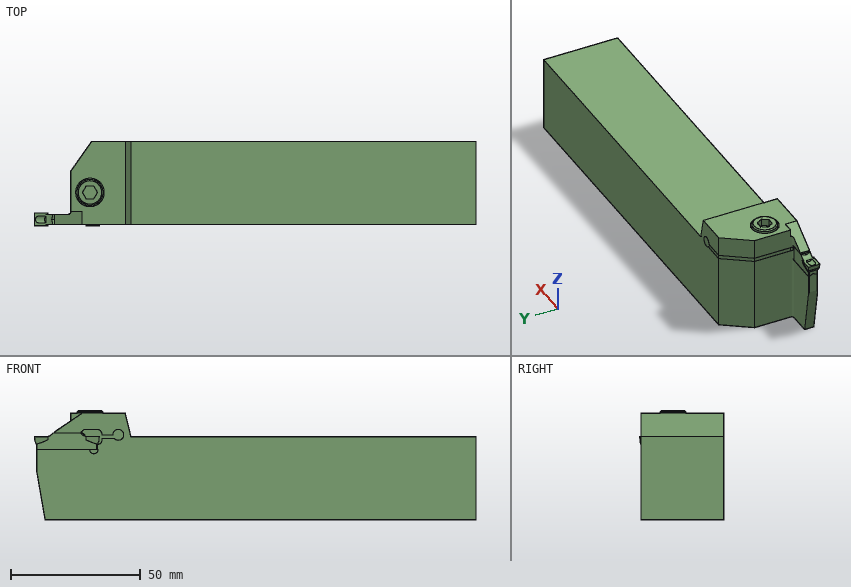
import cadquery as cq
import math

total_length = 170.0
shank_width = 32.0
shank_height = 32.0

head_front_x = 14.0
head_top_z = 41.0
head_back_top_x = 35.0
head_back_foot_x = 37.2
head_bevel_length = 8.0
head_bevel_width = 11.4

blade_width = 4.0
blade_front_x = 0.75
blade_relief_z = 19.4
blade_foot_x = 4.1
blade_edge_chamfer = 0.3
blade_root_radius = 1.0

jaw_wall_y = blade_width + blade_root_radius
jaw_top_x = 18.4
jaw_slope_angle = 34.0
jaw_nose_x = 7.7

insert_length = 25.0
insert_overhang = 0.5
seat_z = 27.0
cutting_edge_z = shank_height
clamp_face_z = 33.4
neck_length = 5.2
neck_top_length = 7.1
neck_arc_start = 4.4
neck_arc_mid = (6.0, 32.4)
side_relief_angle = 7.0
land_foot_x = 0.2
land_foot_z = 30.2
cheek_foot_z = 29.1
cheek_arc_mid = (3.0, 29.8)
cheek_heel_z = 30.8
seat_ridge_height = 0.8
clamp_ridge_height = 0.5
chip_trough_start_x = 1.8
chip_trough_end_x = 3.6
chip_trough_radius = 2.5
chip_trough_depth = 0.4

slit_bottom_z = 31.2
slit_height = 1.5
slit_end_x = 32.3
slit_end_z = 32.7
slit_end_diameter = 4.2
relief_depth = blade_width + insert_overhang
relief_start_x = 18.0
relief_corner_z = 33.8
relief_top_start_x = 19.2
relief_top_z = 34.8
relief_top_end_x = 24.2
relief_end_x = 26.0
relief_shoulder_radius = 1.9
relief_side_z = 32.9
relief_foot_x = 24.3
relief_foot_z = 29.0
relief_foot_radius = 1.7
seat_relief_x = 22.9
seat_relief_diameter = 3.2

screw_x = 21.4
screw_y = 12.4
screw_head_diameter = 10.0
screw_head_height = 6.0
screw_protrusion = 1.0
screw_head_chamfer = 0.5
screw_socket_flats = 5.0
screw_socket_depth = 3.0
screw_shank_diameter = 5.0
screw_tip_z = 16.0
counterbore_diameter = 11.0
clearance_diameter = 6.5

screw_top_z = head_top_z + screw_protrusion
counterbore_floor_z = screw_top_z - screw_head_height


def side_plate(outline, y_start, y_end):
    """Extrude a closed outline drawn in the XZ plane between two Y positions."""
    return outline.extrude(-(y_end - y_start)).translate((0, y_start, 0))


def side_sketch():
    """Start an outline on the XZ plane, whose own normal points toward -Y."""
    return cq.Workplane("XZ")


def vertical_rod(diameter, z_start, z_end):
    """Upright cylinder on the screw axis."""
    rod = cq.Workplane("XY").circle(diameter / 2).extrude(z_end - z_start)
    return rod.translate((screw_x, screw_y, z_start))


def make_blank():
    blade = side_plate(
        side_sketch()
        .moveTo(blade_foot_x, 0)
        .lineTo(blade_front_x, blade_relief_z)
        .lineTo(blade_front_x, head_top_z)
        .lineTo(jaw_top_x, head_top_z)
        .lineTo(jaw_top_x, 0)
        .close(),
        0,
        blade_width,
    )
    blade = blade.faces("<X").edges("|Z").chamfer(blade_edge_chamfer)

    body = side_plate(
        side_sketch()
        .moveTo(head_front_x, 0)
        .lineTo(head_front_x, head_top_z)
        .lineTo(head_back_top_x, head_top_z)
        .lineTo(head_back_foot_x, shank_height)
        .lineTo(total_length, shank_height)
        .lineTo(total_length, 0)
        .close(),
        0,
        shank_width,
    )
    bevel = (
        cq.Workplane("XY")
        .moveTo(head_front_x, shank_width)
        .lineTo(head_front_x + head_bevel_length, shank_width)
        .lineTo(head_front_x, shank_width - head_bevel_width)
        .close()
        .extrude(head_top_z)
    )
    blade_root = (
        cq.Workplane("XY")
        .moveTo(head_front_x, blade_width)
        .lineTo(head_front_x - blade_root_radius, blade_width)
        .radiusArc((head_front_x, jaw_wall_y), -blade_root_radius)
        .close()
        .extrude(head_top_z)
    )
    blank = body.cut(bevel).union(blade).union(blade_root)

    slope_drop = (jaw_top_x - jaw_nose_x) * math.tan(math.radians(jaw_slope_angle))
    above_jaw = side_plate(
        side_sketch()
        .moveTo(jaw_top_x, head_top_z)
        .lineTo(jaw_nose_x, head_top_z - slope_drop)
        .lineTo(jaw_nose_x, cheek_foot_z)
        .lineTo(0, cheek_foot_z)
        .lineTo(0, head_top_z)
        .close(),
        0,
        jaw_wall_y,
    )
    return blank.cut(above_jaw)


def make_v_ridge(base_z, rise):
    """Ridge of triangular section along the insert; a negative rise points it downward."""
    return (
        cq.Workplane("YZ")
        .moveTo(0, base_z)
        .lineTo(blade_width / 2, base_z + rise)
        .lineTo(blade_width, base_z)
        .close()
        .extrude(insert_length)
    )


def make_cutting_end():
    """Front cutting end, wider than the blade, with a round-ended trough as chip breaker."""
    end = side_plate(
        side_sketch()
        .moveTo(0, cutting_edge_z)
        .lineTo(neck_length, cutting_edge_z)
        .lineTo(neck_length, cheek_heel_z)
        .threePointArc(cheek_arc_mid, (blade_front_x, cheek_foot_z))
        .lineTo(land_foot_x, land_foot_z)
        .close(),
        -insert_overhang,
        blade_width + insert_overhang,
    )
    side_relief = (cutting_edge_z - cheek_foot_z) * math.tan(math.radians(side_relief_angle))
    tapered_section = (
        cq.Workplane("YZ")
        .moveTo(-insert_overhang, cutting_edge_z)
        .lineTo(blade_width + insert_overhang, cutting_edge_z)
        .lineTo(blade_width + insert_overhang - side_relief, cheek_foot_z)
        .lineTo(-insert_overhang + side_relief, cheek_foot_z)
        .close()
        .extrude(neck_length)
    )
    end = end.intersect(tapered_section)
    trough_z = cutting_edge_z + chip_trough_radius - chip_trough_depth
    trough = cq.Workplane("YZ").circle(chip_trough_radius).extrude(chip_trough_end_x - chip_trough_start_x)
    end = end.cut(trough.translate((chip_trough_start_x, blade_width / 2, trough_z)))
    for x in (chip_trough_start_x, chip_trough_end_x):
        trough_end = cq.Workplane("XY").sphere(chip_trough_radius)
        end = end.cut(trough_end.translate((x, blade_width / 2, trough_z)))
    return end


def make_insert():
    rear_neck_end = (insert_length - neck_arc_start, cutting_edge_z)
    waist = side_plate(
        side_sketch()
        .moveTo(blade_front_x, seat_z)
        .lineTo(blade_front_x, cheek_foot_z)
        .lineTo(neck_arc_start, cutting_edge_z)
        .threePointArc(neck_arc_mid, (neck_top_length, clamp_face_z))
        .lineTo(insert_length - neck_top_length, clamp_face_z)
        .threePointArc((insert_length - neck_arc_mid[0], neck_arc_mid[1]), rear_neck_end)
        .lineTo(insert_length - blade_front_x, cheek_foot_z)
        .lineTo(insert_length - blade_front_x, seat_z)
        .close(),
        0,
        blade_width,
    )
    waist = waist.edges("|Z").chamfer(blade_edge_chamfer)
    waist = waist.cut(make_v_ridge(seat_z, seat_ridge_height))
    waist = waist.cut(make_v_ridge(clamp_face_z, -clamp_ridge_height))
    front_end = make_cutting_end()
    rear_end = front_end.mirror("YZ").translate((insert_length, 0, 0))
    return waist.union(front_end).union(rear_end)


def make_spacer(blank, insert):
    slit = side_plate(
        side_sketch()
        .moveTo(head_front_x, slit_bottom_z)
        .lineTo(slit_end_x, slit_bottom_z)
        .lineTo(slit_end_x, slit_bottom_z + slit_height)
        .lineTo(head_front_x, slit_bottom_z + slit_height)
        .close(),
        0,
        shank_width,
    )
    round_end = side_plate(
        side_sketch().center(slit_end_x, slit_end_z).circle(slit_end_diameter / 2),
        0,
        shank_width,
    )
    relief = side_plate(
        side_sketch()
        .moveTo(relief_start_x, relief_corner_z)
        .lineTo(relief_top_start_x, relief_top_z)
        .lineTo(relief_top_end_x, relief_top_z)
        .radiusArc((relief_end_x, relief_side_z), relief_shoulder_radius)
        .lineTo(relief_end_x, relief_foot_z + relief_foot_radius)
        .radiusArc((relief_foot_x, relief_foot_z), relief_foot_radius)
        .close(),
        0,
        relief_depth,
    )
    spacer = slit.union(round_end).union(relief).intersect(blank).cut(insert)
    return spacer.cut(vertical_rod(clearance_diameter, 0, head_top_z))


def make_screw():
    head = vertical_rod(screw_head_diameter, counterbore_floor_z, screw_top_z)
    head = head.faces(">Z").chamfer(screw_head_chamfer)
    shank = vertical_rod(screw_shank_diameter, screw_tip_z, counterbore_floor_z)
    socket_corners = screw_socket_flats / math.cos(math.pi / 6)
    socket = (
        cq.Workplane("XY")
        .polygon(6, socket_corners)
        .extrude(screw_socket_depth)
        .translate((screw_x, screw_y, screw_top_z - screw_socket_depth))
    )
    return head.union(shank).cut(socket)


def make_holder(blank, insert, spacer, screw):
    seat_relief = side_plate(
        side_sketch().center(seat_relief_x, seat_z).circle(seat_relief_diameter / 2),
        0,
        blade_width,
    ).intersect(cq.Workplane("XY").box(total_length, shank_width, seat_z, centered=False))
    counterbore = vertical_rod(counterbore_diameter, counterbore_floor_z, head_top_z)
    clearance = vertical_rod(clearance_diameter, slit_bottom_z, head_top_z)
    holder = blank.cut(insert).cut(spacer).cut(seat_relief)
    return holder.cut(counterbore).cut(clearance).cut(screw)


blank = make_blank()
insert = make_insert()
spacer = make_spacer(blank, insert)
screw = make_screw()
holder = make_holder(blank, insert, spacer, screw)

result = cq.Compound.makeCompound(
    [
        holder.solids().val(),
        insert.solids().val(),
        spacer.solids().val(),
        screw.solids().val(),
    ]
)